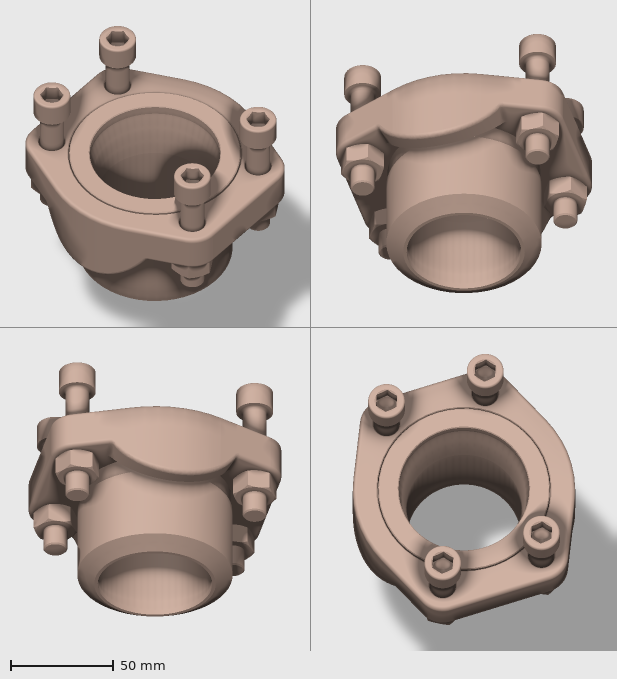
import cadquery as cq
import math

flange_length = 115

adapter_height = 70.0
flange_bottom = 50.3
flange_top = 69.5
step_height = 42.0
bolt_top = 101.5

bolt_spacing_x = 88.9
bolt_spacing_y = 50.8
bolt_d = 11.7
bolt_length = 60.0
bolt_end_chamfer = 0.7
head_d = 18.0
head_height = 12.0
head_round = 1.0
under_head_round = 1.2
socket_flats = 10.0
socket_depth = 8
socket_mouth_d = 11.7
socket_turn = 38
socket_mouth_angle = 120
socket_tip_angle = 120
nut_flats = 19.0
nut_height = 9.9
nut_chamfer_angle = 30

clearance_d = 13.0
corner_radius = (flange_length - bolt_spacing_x) / 2
crown_radius = 54.5
flange_bore_d = 75.0
seat_d = 85.0
seat_depth = 9.0
flange_round = 2.0
skirt_inner_radius = 44.2
skirt_lowest = 31.2
skirt_underside_radius = 36.3
skirt_tilt = 9
skirt_blend = 2.0

collar_d = 84.1
neck_d = 74.0
tube_d = 76.1
bore_d = 56.1
mouth_d = 64.0
mouth_depth = 5.0
edge_chamfer = 0.5
weld_chamfer_height = 5.3
weld_chamfer_width = 8.3

bolt_x = bolt_spacing_x / 2
bolt_y = bolt_spacing_y / 2
bolt_places = [(sx * bolt_x, sy * bolt_y) for sx in (-1, 1) for sy in (-1, 1)]
hex_corner_ratio = 2 / math.sqrt(3)
pick_margin = 0.1


def cylinder(diameter, bottom, top):
    """Cylinder on the Z axis between two heights."""
    return cq.Workplane("XY", origin=(0, 0, bottom)).circle(diameter / 2).extrude(top - bottom)


def flange_outline(bottom, top):
    """Plate with round corners about the bolts and a large arc on the +Y and the -Y side."""
    centre_angle = math.atan2(bolt_y, bolt_x)
    normal = centre_angle + math.acos((crown_radius - corner_radius) / math.hypot(bolt_x, bolt_y))
    crown_end = (crown_radius * math.cos(normal), crown_radius * math.sin(normal))
    side_x = bolt_x + corner_radius

    def corner_point(angle):
        return (bolt_x + corner_radius * math.cos(angle), bolt_y + corner_radius * math.sin(angle))

    flank_end = corner_point(normal)
    corner_middle = corner_point(normal / 2)

    def placed(point, sx, sy):
        return (sx * point[0], sy * point[1])

    return (
        cq.Workplane("XY", origin=(0, 0, bottom))
        .moveTo(side_x, -bolt_y)
        .lineTo(side_x, bolt_y)
        .threePointArc(corner_middle, flank_end)
        .lineTo(*crown_end)
        .threePointArc((0, crown_radius), placed(crown_end, -1, 1))
        .lineTo(*placed(flank_end, -1, 1))
        .threePointArc(placed(corner_middle, -1, 1), (-side_x, bolt_y))
        .lineTo(-side_x, -bolt_y)
        .threePointArc(placed(corner_middle, -1, -1), placed(flank_end, -1, -1))
        .lineTo(*placed(crown_end, -1, -1))
        .threePointArc((0, -crown_radius), placed(crown_end, 1, -1))
        .lineTo(*placed(flank_end, 1, -1))
        .threePointArc(placed(corner_middle, 1, -1), (side_x, -bolt_y))
        .close()
        .extrude(top - bottom)
    )


def make_skirts():
    """Hanging walls on the -Y and +Y sides; a tilted cylinder forms each underside."""
    axis_height = skirt_lowest + skirt_underside_radius
    rod = (
        cq.Workplane("XZ", origin=(0, crown_radius, axis_height))
        .circle(skirt_underside_radius)
        .extrude(crown_radius, both=True)
        .rotate((0, crown_radius, axis_height), (1, crown_radius, axis_height), -skirt_tilt)
    )
    half_space = cq.Workplane("XY").rect(2 * crown_radius, crown_radius).extrude(flange_top)
    wall = (
        flange_outline(0, flange_bottom)
        .intersect(half_space.translate((0, crown_radius / 2, 0)))
        .intersect(rod)
        .cut(cylinder(2 * skirt_inner_radius, 0, flange_top))
    )
    return [wall, wall.mirror("XZ")]


def skirt_root(side_x, side_y):
    """Selector for the inner corner where one end of a skirt meets the underside of the flange."""
    near = (side_x * skirt_inner_radius / 2, side_y * skirt_inner_radius / 2, flange_bottom - pick_margin)
    far = (side_x * skirt_underside_radius, side_y * skirt_inner_radius, flange_bottom + pick_margin)
    return cq.selectors.BoxSelector(near, far)


def bevelled_hole(diameter, bottom):
    """Cutter for a hole from the flange top with a small bevel around its mouth."""
    radius = diameter / 2
    return (
        cq.Workplane("XZ")
        .polyline([
            (0, bottom),
            (radius, bottom),
            (radius, flange_top - edge_chamfer),
            (radius + edge_chamfer, flange_top),
            (0, flange_top),
        ])
        .close()
        .revolve(360, (0, 0, 0), (0, 1, 0))
    )


def make_flange():
    """Plate with two skirts, a stepped bore for the adapter and four bolt holes."""
    flange = flange_outline(flange_bottom, flange_top)
    for skirt in make_skirts():
        flange = flange.union(skirt)

    for side_x in (-1, 1):
        for side_y in (-1, 1):
            flange = flange.edges(skirt_root(side_x, side_y)).fillet(skirt_blend)
    flange = flange.faces(">Z").edges().fillet(flange_round)
    flange = flange.faces("<X").edges("<Z").fillet(flange_round)

    flange = flange.cut(cylinder(flange_bore_d, flange_bottom, flange_top))
    flange = flange.cut(bevelled_hole(seat_d, flange_top - seat_depth))
    bolt_hole = bevelled_hole(clearance_d, flange_bottom)
    for x, y in bolt_places:
        flange = flange.cut(bolt_hole.translate((x, y, 0)))
    return flange


def make_adapter():
    """Tube with a welding bevel below, a narrow neck through the flange and a seated collar."""
    tube_r = tube_d / 2
    bore_r = bore_d / 2
    mouth_r = mouth_d / 2
    neck_r = neck_d / 2
    collar_r = collar_d / 2
    seat_height = flange_top - seat_depth
    mouth_bottom = adapter_height - mouth_depth
    funnel_height = mouth_bottom - step_height
    funnel_width = mouth_r - bore_r
    funnel_radius = (funnel_height ** 2 + funnel_width ** 2) / (2 * funnel_width)
    half_angle = math.asin(funnel_height / funnel_radius) / 2
    funnel_middle = (
        bore_r + funnel_radius * (1 - math.cos(half_angle)),
        step_height + funnel_radius * math.sin(half_angle),
    )
    return (
        cq.Workplane("XZ")
        .moveTo(bore_r, 0)
        .lineTo(tube_r - weld_chamfer_width, 0)
        .lineTo(tube_r, weld_chamfer_height)
        .lineTo(tube_r, step_height)
        .lineTo(neck_r, step_height)
        .lineTo(neck_r, seat_height)
        .lineTo(collar_r, seat_height)
        .lineTo(collar_r, adapter_height - edge_chamfer)
        .lineTo(collar_r - edge_chamfer, adapter_height)
        .lineTo(mouth_r + edge_chamfer, adapter_height)
        .lineTo(mouth_r, adapter_height - edge_chamfer)
        .lineTo(mouth_r, mouth_bottom)
        .threePointArc(funnel_middle, (bore_r, step_height))
        .close()
        .revolve(360, (0, 0, 0), (0, 1, 0))
    )


def countersink(large_d, large_z, angle):
    """Cone on the Z axis that points down from its large end."""
    tip_z = large_z - large_d / 2 / math.tan(math.radians(angle / 2))
    return (
        cq.Workplane("XZ")
        .polyline([(0, large_z), (large_d / 2, large_z), (0, tip_z)])
        .close()
        .revolve(360, (0, 0, 0), (0, 1, 0))
    )


def hexagon(flats, bottom, top, turn):
    """Hexagonal prism with corners on X, turned about Z by an angle in degrees."""
    return (
        cq.Workplane("XY", origin=(0, 0, bottom))
        .polygon(6, flats * hex_corner_ratio)
        .extrude(top - bottom)
        .rotate((0, 0, 0), (0, 0, 1), turn)
    )


def make_bolt():
    """Socket head cap screw on the Z axis."""
    head_bottom = bolt_top - head_height
    shank = cylinder(bolt_d, head_bottom - bolt_length, head_bottom).faces("<Z").chamfer(bolt_end_chamfer)
    head = cylinder(head_d, head_bottom, bolt_top).faces(">Z").edges().fillet(head_round)
    bolt = shank.union(head)
    under_head_edge = cq.selectors.BoxSelector(
        (-bolt_d, -bolt_d, head_bottom - pick_margin),
        (bolt_d, bolt_d, head_bottom + pick_margin),
    )
    bolt = bolt.edges(under_head_edge).edges(cq.selectors.RadiusNthSelector(0)).fillet(under_head_round)
    socket_bottom = bolt_top - socket_depth
    bolt = bolt.cut(hexagon(socket_flats, socket_bottom, bolt_top, socket_turn))
    bolt = bolt.cut(countersink(socket_flats, socket_bottom, socket_tip_angle))
    bolt = bolt.cut(countersink(socket_mouth_d, bolt_top, socket_mouth_angle))
    return bolt


def make_nut():
    """Hexagon nut on the Z axis, with its corners bevelled at both ends."""
    nut_bottom = flange_bottom - nut_height
    corner_d = nut_flats * hex_corner_ratio
    bevel_width = (corner_d - nut_flats) / 2
    bevel_height = bevel_width * math.tan(math.radians(nut_chamfer_angle))
    bevelled_blank = (
        cylinder(corner_d, nut_bottom, flange_bottom)
        .faces("<Z or >Z")
        .edges()
        .chamfer(bevel_height, bevel_width)
    )
    return (
        hexagon(nut_flats, nut_bottom, flange_bottom, 0)
        .intersect(bevelled_blank)
        .cut(cylinder(bolt_d, nut_bottom, flange_bottom))
    )


flange = make_flange()
adapter = make_adapter()
bolts = [make_bolt().translate((x, y, 0)) for x, y in bolt_places]
nuts = [make_nut().translate((x, y, 0)) for x, y in bolt_places]

result = cq.Compound.makeCompound([
    flange.val(),
    adapter.val(),
    *[bolt.val() for bolt in bolts],
    *[nut.val() for nut in nuts],
])